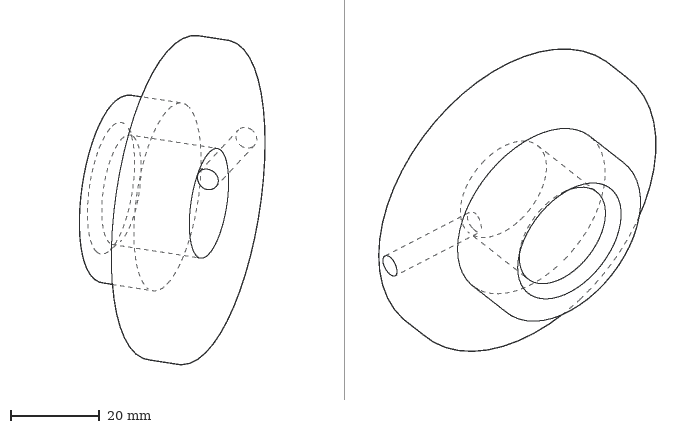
import cadquery as cq

total_length = 23.6
flange_diameter = 74.0
flange_thickness = 10.0
hub_diameter = 42.85
bore_diameter = 25.0
edge_radius = 1.5
bore_chamfer = 2.5
radial_hole_diameter = 5.0

hub_length = total_length - flange_thickness


def disc(start_x, diameter, length):
    """Solid cylinder along +X, starting at start_x."""
    return cq.Workplane("YZ", origin=(start_x, 0, 0)).circle(diameter / 2).extrude(length)


flange = disc(hub_length, flange_diameter, flange_thickness).edges().fillet(edge_radius)

hub = disc(0, hub_diameter, hub_length).faces("<X").edges().fillet(edge_radius)

bore = disc(0, bore_diameter, total_length)
body = flange.union(hub).cut(bore)
bore_mouth = body.faces("<X").edges(cq.selectors.RadiusNthSelector(0))
bush = bore_mouth.chamfer(bore_chamfer)

radial_hole = (
    cq.Workplane("XZ", origin=(hub_length + flange_thickness / 2, 0, 0))
    .circle(radial_hole_diameter / 2)
    .extrude(-flange_diameter / 2)
)
result = bush.cut(radial_hole)